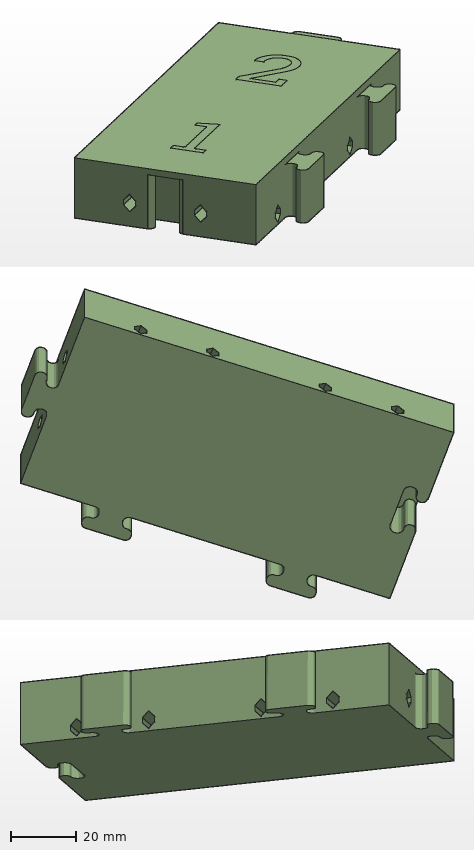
import cadquery as cq
import math

cell = 60.0
cell_count = 2
tile_height = 20.0
tile_length = cell * cell_count
cell_centres = [cell * (index + 0.5) for index in range(cell_count)]

key_reach = 7.9
corner_radius = 1.85
flat_width = key_reach / 2 - 2 * corner_radius
notch_offset = 5.8
lobe_offset = 6.1
key_height = 17.5
socket_height = 17.9
socket_clearance = 0.2
root_length = 1.3

hole_radius = 2.0
hole_spacing = 23.4
lengthwise_hole_z = 7.7
crosswise_hole_z = 3.6
hole_offsets = [-hole_spacing / 2, hole_spacing / 2]

digit_depth = 1.0
digit_baseline = 18.4


def lock_profile(clearance):
    """Key outline standing on the X axis and reaching toward +Y, grown by a clearance."""
    notch = corner_radius - clearance
    lobe = corner_radius + clearance
    diagonal = math.sqrt(0.5)
    notch_low = corner_radius
    notch_high = notch_low + flat_width
    lobe_low = key_reach / 2 + corner_radius
    lobe_high = lobe_low + flat_width
    right_side = (
        cq.Workplane("XY")
        .moveTo(0, -root_length)
        .lineTo(notch_offset, -root_length)
        .lineTo(notch_offset, notch_low - notch)
        .threePointArc(
            (notch_offset - diagonal * notch, notch_low - diagonal * notch),
            (notch_offset - notch, notch_low),
        )
        .lineTo(notch_offset - notch, notch_high)
        .threePointArc(
            (notch_offset - diagonal * notch, notch_high + diagonal * notch),
            (notch_offset, notch_high + notch),
        )
        .lineTo(lobe_offset, lobe_low - lobe)
        .threePointArc(
            (lobe_offset + diagonal * lobe, lobe_low - diagonal * lobe),
            (lobe_offset + lobe, lobe_low),
        )
        .lineTo(lobe_offset + lobe, lobe_high)
        .threePointArc(
            (lobe_offset + diagonal * lobe, lobe_high + diagonal * lobe),
            (lobe_offset, lobe_high + lobe),
        )
        .lineTo(0, lobe_high + lobe)
    )
    return right_side.mirrorY()


def pointed_hole(plane, length):
    """Bar with the hole's cross-section, centred on the plane's origin and normal to it."""
    round_bore = cq.Workplane(plane).circle(hole_radius).extrude(length / 2, both=True)
    square_side = 2 * hole_radius
    pointed_bore = (
        cq.Workplane(plane)
        .transformed(rotate=(0, 0, 45))
        .rect(square_side, square_side)
        .extrude(length / 2, both=True)
    )
    width_limit = cq.Workplane(plane).rect(square_side, 2 * square_side).extrude(length / 2, both=True)
    return round_bore.union(pointed_bore.intersect(width_limit))


def digit_one_outline():
    """Digit one, with its baseline on the X axis and centred on the cell."""
    return (
        cq.Workplane("XY")
        .moveTo(-5.5, 0)
        .lineTo(5.2, 0)
        .lineTo(5.2, 2.3)
        .lineTo(2.0, 2.3)
        .lineTo(1.4, 2.7)
        .lineTo(1.4, 23.7)
        .lineTo(-5.5, 22.1)
        .lineTo(-5.5, 20.3)
        .lineTo(-1.7, 20.3)
        .lineTo(-1.7, 2.7)
        .lineTo(-2.3, 2.3)
        .lineTo(-5.5, 2.3)
        .close()
    )


def digit_two_outline():
    """Digit two, with its baseline on the X axis and centred on the cell."""
    return (
        cq.Workplane("XY")
        .moveTo(-7.8, 0)
        .lineTo(7.2, 0)
        .lineTo(7.2, 5.0)
        .lineTo(4.5, 5.0)
        .lineTo(4.5, 2.3)
        .lineTo(-4.0, 2.3)
        .lineTo(4.4, 11.8)
        .threePointArc((5.9, 14.3), (6.4, 17.4))
        .threePointArc((4.5, 21.9), (-0.3, 23.8))
        .threePointArc((-5.5, 22.1), (-8.2, 16.5))
        .lineTo(-5.1, 16.5)
        .threePointArc((-4.0, 20.1), (-0.6, 21.5))
        .threePointArc((2.3, 20.2), (3.3, 17.4))
        .threePointArc((2.8, 15.1), (1.7, 13.0))
        .lineTo(-7.8, 2.5)
        .close()
    )


def make_digit(outline, cell_index):
    """Flat digit set flush with the top of the tile."""
    position = (cell / 2, cell_index * cell + digit_baseline, tile_height - digit_depth)
    return outline.extrude(digit_depth).translate(position)


def make_tile(digits):
    tile = cq.Workplane("XY").box(cell, tile_length, tile_height, centered=False)

    key = lock_profile(0).extrude(key_height)
    side_key = key.rotate((0, 0, 0), (0, 0, 1), -90)
    for centre in cell_centres:
        tile = tile.union(side_key.translate((cell, centre, 0)))
    tile = tile.union(key.translate((cell / 2, tile_length, 0)))

    socket = lock_profile(socket_clearance).extrude(socket_height)
    tile = tile.cut(socket.translate((cell / 2, 0, 0)))

    lengthwise_hole = pointed_hole("XZ", tile_length)
    for offset in hole_offsets:
        tile = tile.cut(lengthwise_hole.translate((cell / 2 + offset, tile_length / 2, lengthwise_hole_z)))
    crosswise_hole = pointed_hole("YZ", cell)
    for centre in cell_centres:
        for offset in hole_offsets:
            tile = tile.cut(crosswise_hole.translate((cell / 2, centre + offset, crosswise_hole_z)))

    for digit in digits:
        tile = tile.cut(digit)
    return tile


digit_one = make_digit(digit_one_outline(), 0)
digit_two = make_digit(digit_two_outline(), 1)
tile = make_tile([digit_one, digit_two])

result = cq.Compound.makeCompound([tile.solids().val(), digit_one.val(), digit_two.val()])